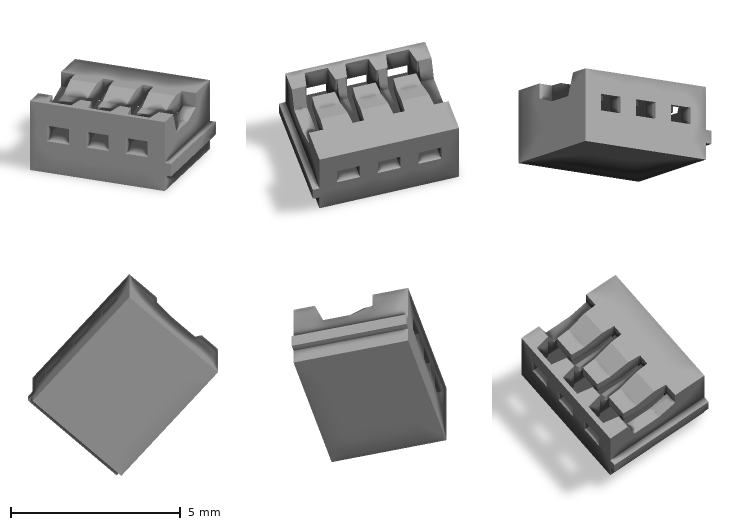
import cadquery as cq

overall_length = 4.5
rib_width = 0.202
body_length = overall_length - rib_width
body_depth = 3.5
body_height = 2.2

contact_count = 3
contact_pitch = 1.25
contact_centres = [
    body_length / 2 + (i - (contact_count - 1) / 2) * contact_pitch
    for i in range(contact_count)
]

passage_width = 0.7
passage_height = 0.5
passage_floor = 1.0

trough_front = 0.652
trough_floor_front = 0.905
trough_floor_back = 1.8
trough_back = 2.41
trough_floor_height = body_height - 0.665
trough_back_height = body_height - 0.455

tongue_root_width = 0.9
tongue_slope_back = 2.0
tongue_slope_front = 1.35
tongue_tip_height = body_height - 0.24

chamber_width = 1.0
notch_front = 0.155

rib_bottom = 0.5
rib_height = 0.4


def block(x_min, y_min, z_min, x_size, y_size, z_size):
    return cq.Workplane("XY").box(x_size, y_size, z_size, centered=False).translate((x_min, y_min, z_min))


def side_prism(points, x_min, length):
    """Extrude a (Y, Z) outline along X."""
    return cq.Workplane("YZ").polyline(points).close().extrude(length).translate((x_min, 0, 0))


def tapered_prism(centre, y_front, y_back, z_min, z_max):
    """Upright prism that widens from the passage width in front to the tongue root width behind."""
    half_front = passage_width / 2
    half_back = tongue_root_width / 2
    outline = [
        (centre - half_front, y_front),
        (centre + half_front, y_front),
        (centre + half_back, y_back),
        (centre - half_back, y_back),
    ]
    return cq.Workplane("XY").workplane(offset=z_min).polyline(outline).close().extrude(z_max - z_min)


def trough():
    outline = [
        (trough_front, body_height),
        (trough_floor_front, trough_floor_height),
        (trough_floor_back, trough_floor_height),
        (trough_back, trough_back_height),
        (trough_back, body_height),
    ]
    return side_prism(outline, 0, body_length)


def contact_cavity(centre):
    """Passage, chamber and front notch, all sharing one floor."""
    chamber_height = body_height - passage_floor
    passage = block(centre - passage_width / 2, 0, passage_floor, passage_width, body_depth, passage_height)
    chamber = block(
        centre - chamber_width / 2, trough_front, passage_floor,
        chamber_width, trough_back - trough_front, chamber_height,
    )
    notch = tapered_prism(centre, notch_front, trough_front, passage_floor, body_height)
    return passage.union(chamber).union(notch)


def tongue(centre):
    """Tapered tongue whose underside follows the trough floor."""
    outline = [
        (trough_back, body_height),
        (tongue_slope_back, body_height),
        (tongue_slope_front, tongue_tip_height),
        (trough_floor_front, tongue_tip_height),
        (trough_floor_front, trough_floor_height),
        (trough_floor_back, trough_floor_height),
        (trough_back, trough_back_height),
    ]
    profile = side_prism(outline, centre - tongue_root_width / 2, tongue_root_width)
    plan = tapered_prism(centre, trough_floor_front, trough_back, 0, body_height)
    return profile.intersect(plan)


result = block(0, 0, 0, body_length, body_depth, body_height).cut(trough())
for contact_centre in contact_centres:
    result = result.cut(contact_cavity(contact_centre))
    result = result.union(tongue(contact_centre))
result = result.union(block(body_length, 0, rib_bottom, rib_width, body_depth, rib_height))